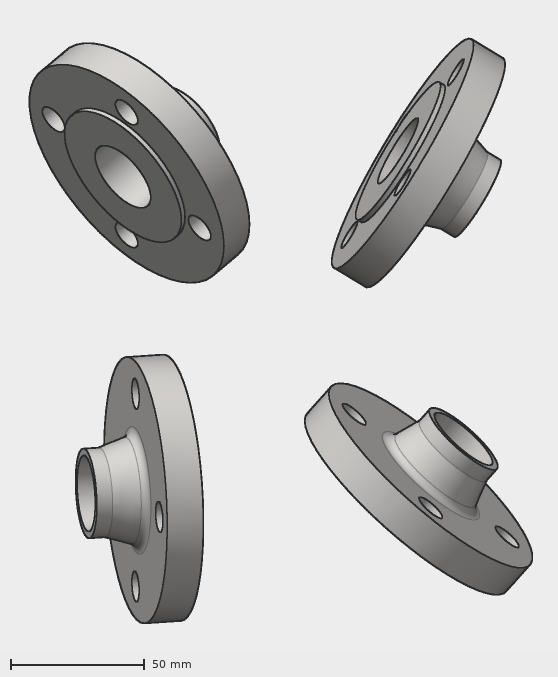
import cadquery as cq

flange_diameter = 100.0
flange_thickness = 14.0
raised_face_diameter = 60.0
raised_face_height = 2.0
total_length = 35.0
neck_diameter = 33.7
neck_length = 6.0
hub_base_diameter = 42.0
hub_fillet_radius = 4.0
bore_diameter = 28.5
bolt_hole_diameter = 11.5
bolt_circle_diameter = 75.0
bolt_count = 4

hub_base_y = raised_face_height + flange_thickness
hub_length = total_length - hub_base_y - neck_length


def disc(diameter, start_y, length):
    """Cylinder on the Y axis, running from start_y toward +Y."""
    return cq.Workplane("XZ", origin=(0, start_y, 0)).circle(diameter / 2).extrude(-length)


def tapered_hub():
    """Cone from the flange back face up to the neck."""
    return (
        cq.Workplane("XZ", origin=(0, hub_base_y, 0))
        .circle(hub_base_diameter / 2)
        .workplane(offset=-hub_length)
        .circle(neck_diameter / 2)
        .loft(ruled=True)
    )


def bolt_holes():
    """Through holes evenly spaced on the bolt circle."""
    return (
        cq.Workplane("XZ")
        .polarArray(bolt_circle_diameter / 2, 0, 360, bolt_count)
        .circle(bolt_hole_diameter / 2)
        .extrude(-hub_base_y)
    )


flange = disc(flange_diameter, raised_face_height, flange_thickness)
hub_root = cq.selectors.RadiusNthSelector(0)
body = flange.union(tapered_hub()).faces(">Y[-2]").edges(hub_root).fillet(hub_fillet_radius)
body = body.union(disc(raised_face_diameter, 0, raised_face_height))
body = body.union(disc(neck_diameter, hub_base_y + hub_length, neck_length))
result = body.cut(disc(bore_diameter, 0, total_length)).cut(bolt_holes())